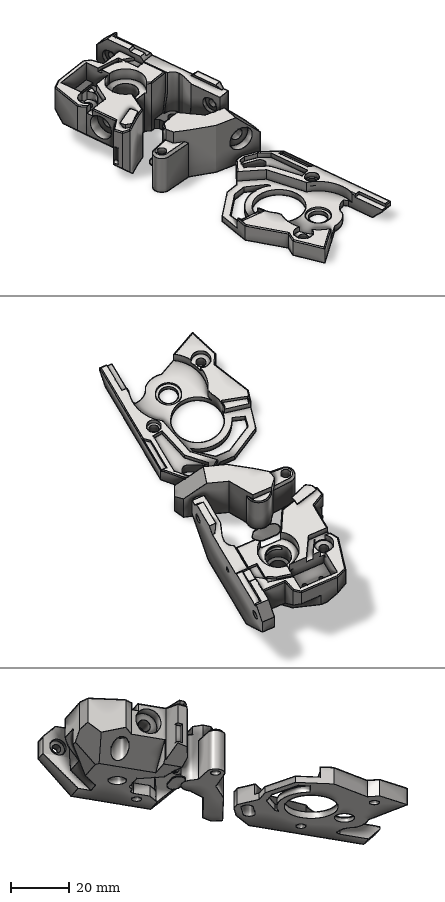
import cadquery as cq
import math


def prism(points, bottom, top):
    """Straight-sided block with a plan outline between two heights."""
    return cq.Workplane("XY").workplane(offset=bottom).polyline(points).close().extrude(top - bottom)


def disc(center, diameter, bottom, top):
    """Upright cylinder between two heights."""
    plane = cq.Workplane("XY").workplane(offset=bottom)
    return plane.center(*center).circle(diameter / 2).extrude(top - bottom)


def block(x_range, y_range, z_range):
    """Box given by its limits along each axis."""
    sizes = [limits[1] - limits[0] for limits in (x_range, y_range, z_range)]
    corner = (x_range[0], y_range[0], z_range[0])
    return cq.Workplane("XY").box(*sizes, centered=False).translate(corner)


def side_profile(points, front, back):
    """Block with an XZ outline, reaching from front to back along Y."""
    return cq.Workplane("XZ", origin=(0, front, 0)).polyline(points).close().extrude(front - back)


def cross_profile(points, left, right):
    """Block with a YZ outline, reaching from left to right along X."""
    return cq.Workplane("YZ", origin=(left, 0, 0)).polyline(points).close().extrude(right - left)


SCREW_HOLE = 3.4
SCREW_HEAD = 6.8
FLANGE_BACK = 41.4
FLANGE_FRONT = 36.7
EDGE_BEVEL = 0.4

HOUSING_HEIGHT = 20.9
RAIL_HEIGHT = 23.2
HOUSING_LEFT = 3.5
FLANGE_LENGTH = 53.4
FLANGE_KINK = 12.1
FLANGE_FOOT_FRONT = 34.6
FRONT_FACE = 4.8
TAB_HEIGHT = 4.0
DRIVE_CENTER = (22.4, 24.0)
DRIVE_POCKET = 14.3
DRIVE_POCKET_FLOOR = 16.6
DRIVE_BEARING = 9.0
DRIVE_BEARING_FLOOR = 9.0
DRIVE_HOLE = 6.25
REAR_SCREW = (33.9, 35.5)
FRONT_SCREW = (17.6, 8.9)
FRONT_SCREW_RELIEF = 6.25
FRONT_SCREW_RELIEF_TOP = 10.0
FRONT_SCREW_SEAT = 17.5
SWITCH_FLOOR = 12.5
SWITCH_LEDGE_X = 8.05
SWITCH_LEDGE_HEIGHT = 1.0
SWITCH_PIN = 1.8
SWITCH_PIN_DEPTH = 6.0
SWITCH_PINS = [(9.9, 13.7), (9.9, 20.1)]
INLET_X = 26.5
INLET_Z = 14.7
FILAMENT_HOLE = 1.8
FLANGE_HOLES_X = (5.5, 49.0)
FLANGE_HOLE_Z = 15.5

ARM_HEIGHT = 20.3
HINGE_CENTER = (51.7, 6.3)
HINGE_HEIGHT = 15.5
HINGE_RADIUS = 3.2
HINGE_BEVEL = 0.9
IDLER_CENTER = (48.4, 18.4)
IDLER_BOSS = 9.0
IDLER_BOSS_HEIGHT = 17.6
EAR_THICKNESS = 0.4

PLATE_HEIGHT = 6.5
PLATE_RIGHT = 123.73
PLATE_FLOOR = 2.4
TRAY_FLOOR = 4.6
MOTOR_CENTER = (92.0, 19.85)
MOTOR_HOLE = 18.4
MOTOR_RING = 23.6
SHAFT_CENTER = (105.8, 24.0)
SHAFT_HOLE = 6.8
SHAFT_SEAT = 9.0
SHAFT_SEAT_DEPTH = 0.8
SHAFT_RECESS = 27.2
PLATE_SCREW_TOP = (94.2, 35.5)
PLATE_SCREW_TOP_HEAD = 5.0
PLATE_SCREW_LOW = (111.0, 8.95)
PLATE_HEAD_FLOOR = 4.5



def housing_body():
    """Main block, with its lower left and front edges sloped away."""
    outline = [
        (HOUSING_LEFT, 10.7), (5.0, 6.8), (FRONT_SCREW[0], 3.3), (20.3, FRONT_FACE), (32.9, FRONT_FACE),
        (35.5, 0.1), (39.0, 0.7), (40.3, 3.3), (37.7, 10.7), (36.4, 15.5), (28.1, 20.3), (28.1, 27.3),
        (29.8, 29.0), (29.8, FLANGE_FRONT), (9.8, FLANGE_FRONT), (9.8, 27.7), (5.4, 26.8),
        (HOUSING_LEFT, 24.6),
    ]
    body = prism(outline, 0, HOUSING_HEIGHT).faces(">Z").edges().chamfer(EDGE_BEVEL)
    body = body.cut(left_underside()).cut(front_underside())
    return body.cut(corner_underside())


def left_underside():
    """45-degree slope under the left side, rising higher behind an upright diagonal wall."""
    low_slope = 7.3
    high_slope = 13.3
    wall_start = 17.0
    slopes = []
    for height in (low_slope, high_slope):
        profile = [(HOUSING_LEFT, 0), (HOUSING_LEFT + height, 0), (HOUSING_LEFT, height)]
        slopes.append(side_profile(profile, 0, FLANGE_BACK))
    wall_reach = FLANGE_BACK - wall_start
    behind_wall = prism(
        [(HOUSING_LEFT, wall_start), (HOUSING_LEFT + wall_reach, FLANGE_BACK), (HOUSING_LEFT, FLANGE_BACK)],
        0, HOUSING_HEIGHT,
    )
    return slopes[0].union(slopes[1].intersect(behind_wall))


def front_underside():
    """45-degree slopes under the front face and under the front right corner."""
    cut = None
    corner_start = 32.5
    for left, right, reach in ((0, corner_start, FRONT_FACE + 8.7), (corner_start, FLANGE_LENGTH, 6.0)):
        wedge = cross_profile([(0, 0), (reach, 0), (0, reach)], left, right)
        cut = wedge if cut is None else cut.union(wedge)
    return cut


def corner_underside():
    """Facet that slopes away the front left corner beneath the block."""
    high_point = (HOUSING_LEFT, 6.4, 13.3)
    facet = cq.Plane(origin=high_point, xDir=(0, 8.4, -6.0), normal=(-60.0, -43.0, -60.0))
    reach = 60.0
    return cq.Workplane(facet).rect(reach, reach).extrude(reach)


def housing_flange():
    """Rear flange: sloped ends, a foot that thickens downward and rails on its top."""
    slope_end = FLANGE_LENGTH - FLANGE_KINK
    outline = [
        (0, FLANGE_KINK), (FLANGE_KINK, 0), (slope_end, 0), (FLANGE_LENGTH, FLANGE_KINK),
        (FLANGE_LENGTH, HOUSING_HEIGHT), (20.4, HOUSING_HEIGHT), (19.0, 22.4), (14.6, 22.4),
        (14.0, RAIL_HEIGHT), (4.6, RAIL_HEIGHT), (0, RAIL_HEIGHT - 4.6),
    ]
    flange = side_profile(outline, FLANGE_FOOT_FRONT, FLANGE_BACK)
    wall = cross_profile(
        [
            (FLANGE_BACK, 0), (FLANGE_FOOT_FRONT, 0), (FLANGE_FRONT, FLANGE_KINK),
            (FLANGE_FRONT, RAIL_HEIGHT), (FLANGE_BACK, RAIL_HEIGHT),
        ],
        0, FLANGE_LENGTH,
    )
    rebate = block((5.2, 20.4), (39.2, FLANGE_BACK), (21.6, RAIL_HEIGHT))
    flange = flange.intersect(wall).cut(rebate).union(latch_rail())
    hole_size = 3.15
    head_size = 5.9
    head_depth = 1.5
    for x in FLANGE_HOLES_X:
        face = cq.Workplane("XZ", origin=(x, FLANGE_FRONT, FLANGE_HOLE_Z))
        flange = flange.cut(face.circle(head_size / 2).extrude(-head_depth))
        flange = flange.cut(face.circle(hole_size / 2).extrude(-FLANGE_BACK))
    return flange


def latch_rail():
    """Rail on the right of the flange: sloped ends and a front that overhangs its foot."""
    rail = side_profile(
        [(38, HOUSING_HEIGHT), (40.3, RAIL_HEIGHT), (49.8, RAIL_HEIGHT), (51.4, HOUSING_HEIGHT)],
        FLANGE_FRONT, FLANGE_BACK,
    )
    section = cross_profile(
        [
            (FLANGE_BACK, HOUSING_HEIGHT), (40.4, HOUSING_HEIGHT), (38.9, RAIL_HEIGHT),
            (FLANGE_BACK, RAIL_HEIGHT),
        ],
        0, FLANGE_LENGTH,
    )
    return rail.intersect(section)


def screw_tab():
    """Low tab that carries the rear screw, in the corner of flange and block."""
    outline = [
        (29.0, FLANGE_FRONT + 1.5), (29.0, 30.0), (31.2, 31.6), (37.3, 31.6), (40.7, FLANGE_FOOT_FRONT),
        (40.7, FLANGE_FRONT + 1.5),
    ]
    return prism(outline, 0, TAB_HEIGHT)


def screw_clearance():
    """Upright channel that lets the rear screw reach its tab, flaring toward the flange's end."""
    channel = disc(REAR_SCREW, SCREW_HEAD, TAB_HEIGHT, HOUSING_HEIGHT)
    flare = prism(
        [(34.0, 38.9), (36.0, 38.6), (41.0, FLANGE_FRONT), (41.0, 33.0), (30.5, 33.0), (30.5, 35.5)],
        TAB_HEIGHT, HOUSING_HEIGHT,
    )
    return channel.union(flare)


def tooth():
    """Catch on top of the front right corner, whose sides overhang its foot."""
    outline = [(34.6, 10.6), (37.8, 11.0), (40.4, 4.5), (38.9, 2.4), (36.9, 2.0)]
    overhang = 0.9
    height = RAIL_HEIGHT - HOUSING_HEIGHT
    spread = math.degrees(math.atan2(overhang, height))
    top = cq.Workplane("XY").workplane(offset=RAIL_HEIGHT).polyline(outline).close()
    return top.extrude(-height, taper=spread)


def drive_bore():
    """Stepped bore for the drive shaft, open toward the idler arm."""
    bore = disc(DRIVE_CENTER, DRIVE_POCKET, DRIVE_POCKET_FLOOR, HOUSING_HEIGHT)
    bore = bore.union(disc(DRIVE_CENTER, DRIVE_BEARING, DRIVE_BEARING_FLOOR, HOUSING_HEIGHT))
    return bore.union(disc(DRIVE_CENTER, DRIVE_HOLE, 0, HOUSING_HEIGHT))


def switch_pocket():
    """Rectangular pocket with a raised ledge on its left and two pin holes in its floor."""
    y_range = (10.0, 24.2)
    left = 5.2
    right = 15.3
    ledge_top = SWITCH_FLOOR + SWITCH_LEDGE_HEIGHT
    pocket = block((left, SWITCH_LEDGE_X), y_range, (ledge_top, HOUSING_HEIGHT))
    pocket = pocket.union(block((SWITCH_LEDGE_X, right), y_range, (SWITCH_FLOOR, HOUSING_HEIGHT)))
    for center in SWITCH_PINS:
        pocket = pocket.union(disc(center, SWITCH_PIN, SWITCH_FLOOR - SWITCH_PIN_DEPTH, SWITCH_FLOOR))
    return pocket


def front_screw_pocket():
    """Sunken area around the front screw, its head seat, its hole and the relief below."""
    area_floor = 18.0
    area = prism(
        [(15.3, 16.8), (22.8, 12.2), (22.8, FRONT_FACE), (20.4, FRONT_FACE), (20.4, 11.2), (15.3, 14.3)],
        area_floor, HOUSING_HEIGHT,
    )
    area = area.union(disc(FRONT_SCREW, SCREW_HEAD, FRONT_SCREW_SEAT, HOUSING_HEIGHT))
    area = area.union(disc(FRONT_SCREW, FRONT_SCREW_RELIEF, 0, FRONT_SCREW_RELIEF_TOP))
    return area.union(disc(FRONT_SCREW, SCREW_HOLE, 0, HOUSING_HEIGHT))


def back_left_recess():
    """Stepped relief behind the drive bore, running down the left side as a narrow channel."""
    relief_floor = 19.5
    relief = prism(
        [(20.7, FLANGE_FRONT), (20.7, 33.0), (13.8, 33.0), (16.5, FLANGE_FRONT)], relief_floor, RAIL_HEIGHT
    )
    channel = prism(
        [(13.8, 33.0), (12.3, 33.0), (10.3, 24.2), (11.6, 24.2), (12.8, 29.5), (14.5, 32.2)],
        relief_floor, RAIL_HEIGHT,
    )
    return relief.union(channel)


def filament_inlet():
    """Filament passage along Y, with a stepped socket in the front face."""
    passage = None
    for diameter, depth in ((9.19, 4.0), (4.4, 10.0), (FILAMENT_HOLE, FLANGE_BACK)):
        face = cq.Workplane("XZ", origin=(INLET_X, FRONT_FACE, INLET_Z))
        bore = face.circle(diameter / 2).extrude(-depth)
        passage = bore if passage is None else passage.union(bore)
    return passage


def build_housing():
    body = housing_body().union(housing_flange()).cut(screw_clearance()).union(screw_tab()).union(tooth())
    for feature in (drive_bore, switch_pocket, front_screw_pocket, back_left_recess, filament_inlet):
        body = body.cut(feature())
    corner_slot = block((35.1, 37.3), (0, 2.0), (6.5, 13.5))
    body = body.cut(corner_slot)
    return body.cut(disc(REAR_SCREW, SCREW_HOLE, 0, TAB_HEIGHT))



def lever():
    """Cranked lever with a sloped tip."""
    slope_left = (57.7, 33.6)
    slope_right = (64.2, 31.65)
    outline = [
        (46.4, 14.4), (49.2, 11.9), (52.2, 12.2), (55.9, 16.6), (61.5, 24.1), slope_right, (67.6, 41.0),
        (64.05, 42.8), (60.3, 41.2), slope_left, (55.0, 26.4), (46.4, 21.6),
    ]
    body = prism(outline, 0, ARM_HEIGHT)
    width = 15.0
    run = 12.0
    drop = 12.5
    angle = math.degrees(math.atan2(slope_right[1] - slope_left[1], slope_right[0] - slope_left[0]))
    wedge = cq.Workplane("YZ").polyline([(0, 0), (run, 0), (run, -drop)]).close()
    wedge = wedge.extrude(width).translate((-width / 2, 0, 0))
    wedge = wedge.rotate((0, 0, 0), (0, 0, 1), angle).translate((*slope_left, ARM_HEIGHT))
    return body.cut(wedge)


def tension_hole():
    """Stepped cross hole through the lever tip, square to the lever."""
    angle = -20.0
    lever_middle = (61.8, 34.8, 10.4)
    mouth_start = 0.5
    reach = 10.0
    hole = cq.Workplane("YZ").circle(4.4 / 2).extrude(reach, both=True)
    mouth = cq.Workplane("YZ").circle(9.0 / 2).extrude(reach).translate((mouth_start, 0, 0))
    return hole.union(mouth).rotate((0, 0, 0), (0, 0, 1), angle).translate(lever_middle)


def hinge():
    """Tapered hinge foot with a round end and a bevelled top."""
    x, y = HINGE_CENTER
    foot = cq.Workplane("XY").moveTo(48.0, 13.0).lineTo(x - HINGE_RADIUS, y)
    foot = foot.threePointArc((x, y - HINGE_RADIUS), (x + HINGE_RADIUS, y)).lineTo(55.7, 17.0)
    foot = foot.lineTo(50.0, 17.0).close().extrude(HINGE_HEIGHT)
    return foot.faces(">Z").edges().chamfer(HINGE_BEVEL)


def build_arm():
    boss = disc(IDLER_CENTER, IDLER_BOSS, 0, IDLER_BOSS_HEIGHT).faces(">Z").edges().chamfer(EDGE_BEVEL)
    body = lever().union(hinge()).union(boss).cut(tension_hole())
    return body.cut(disc(HINGE_CENTER, SCREW_HOLE, 0, HINGE_HEIGHT))



def build_ear():
    """Thin rounded pad lying against the foot of the arm's idler boss."""
    ear = cq.Workplane("XY").moveTo(39.5, 20.5).threePointArc((40.4, 22.9), (42.4, 24.0))
    ear = ear.lineTo(44.2, 22.5).lineTo(44.8, 18.4).lineTo(43.9, 14.6).lineTo(42.9, 13.7)
    ear = ear.threePointArc((40.8, 13.9), (39.5, 16.6)).close().extrude(EAR_THICKNESS)
    return ear.cut(disc(IDLER_CENTER, IDLER_BOSS, 0, EAR_THICKNESS))



def plate_blank():
    """Full-height outline, with a concave then convex edge beside the shaft."""
    blank = cq.Workplane("XY").moveTo(77.4, FLANGE_BACK).lineTo(PLATE_RIGHT, FLANGE_BACK)
    blank = blank.lineTo(PLATE_RIGHT, FLANGE_FRONT).lineTo(109.0, FLANGE_FRONT).lineTo(107.5, 36.0)
    blank = blank.threePointArc((108.9, 32.0), (111.9, 29.8)).threePointArc((113.8, 26.5), (114.0, 22.5))
    for point in (
        (122.2, 6.5), (110.8, 3.3), (107.1, 5.5), (92.7, 0.0), (80.0, 3.5), (73.2, 15.1), (73.2, 20.7),
        (67.6, 27.3), (67.6, 30.3), (70.4, 35.5),
    ):
        blank = blank.lineTo(*point)
    return blank.close().extrude(PLATE_HEIGHT).faces(">Z").edges("not %CIRCLE").chamfer(EDGE_BEVEL)


def motor_side_recess():
    """Lowered area around the motor ring, left of the intermediate step."""
    outline = [
        (94.9, 31.9), (79.4, 29.1), (72.0, 22.0), (66.0, 22.0), (66.0, -1.0), (87.8, -1.0), (90.2, 10.4),
        (101.0, 13.0), (104.0, 30.0),
    ]
    return prism(outline, PLATE_FLOOR, PLATE_HEIGHT)


def motor_step():
    """Flat intermediate step between the lowered ring and the thick lower corner."""
    low_left, high_left = (88.0, 2.0), (89.9, 10.2)
    low_right, high_right = (90.5, 1.5), (93.0, 10.2)
    step_drop = 1.5
    return prism([low_left, low_right, high_right, high_left], PLATE_HEIGHT - step_drop, PLATE_HEIGHT)


def ring_window():
    """Curved window between the motor ring and the outer rim."""
    outline = [
        (76.0, 20.9), (81.4, 26.9), (84.5, 27.5), (90.0, 20.0), (87.2, 8.3), (85.9, 4.6), (81.9, 5.5),
        (76.0, 15.6),
    ]
    return prism(outline, 0, PLATE_HEIGHT).cut(disc(MOTOR_CENTER, MOTOR_RING, 0, PLATE_HEIGHT))


def tray():
    """Sunken tray in the upper left corner with a slanted slot through its floor."""
    outline = [
        (74.9, 37.5), (90.8, 37.5), (91.2, 33.9), (79.0, 31.4), (72.5, 25.4), (69.0, 27.7), (69.0, 30.2),
        (71.4, 34.6),
    ]
    sunken = prism(outline, TRAY_FLOOR, PLATE_HEIGHT)
    slot_length = 9.0
    slot_width = 4.2
    slot_angle = 62.0
    slot = cq.Workplane("XY").center(72.9, 30.4).slot2D(slot_length, slot_width, slot_angle)
    return sunken.union(slot.extrude(PLATE_HEIGHT))


def flange_grooves():
    """Stepped rebates along the back left and front right of the plate's flange."""
    depth = 1.2
    floor = PLATE_HEIGHT - depth
    left = prism([(77.2, 39.1), (89.5, 39.1), (91.4, FLANGE_BACK - 0.3), (77.2, FLANGE_BACK - 0.3)],
                 floor, PLATE_HEIGHT)
    right = block((112.0, PLATE_RIGHT), (FLANGE_FRONT, 38.8), (floor, PLATE_HEIGHT))
    return left.union(right)


def flange_end_slope():
    """Slope under the right end of the plate's flange."""
    profile = [(119.5, 0), (PLATE_RIGHT, 0), (PLATE_RIGHT, 4.5)]
    return side_profile(profile, FLANGE_FRONT, FLANGE_BACK)


def plate_bores():
    """Motor opening, shaft bore with its seat, and the two screw holes with head seats."""
    bores = disc(MOTOR_CENTER, MOTOR_HOLE, 0, PLATE_HEIGHT)
    bores = bores.union(disc(SHAFT_CENTER, SHAFT_HOLE, 0, PLATE_HEIGHT))
    bores = bores.union(disc(SHAFT_CENTER, SHAFT_SEAT, PLATE_FLOOR - SHAFT_SEAT_DEPTH, PLATE_HEIGHT))
    for center, head in ((PLATE_SCREW_TOP, PLATE_SCREW_TOP_HEAD), (PLATE_SCREW_LOW, SCREW_HEAD)):
        bores = bores.union(disc(center, SCREW_HOLE, 0, PLATE_HEIGHT))
        bores = bores.union(disc(center, head, PLATE_HEAD_FLOOR, PLATE_HEIGHT))
    return bores


def build_plate():
    plate = plate_blank().cut(disc(SHAFT_CENTER, SHAFT_RECESS, PLATE_FLOOR, PLATE_HEIGHT))
    features = (
        motor_side_recess, motor_step, ring_window, tray, flange_grooves, flange_end_slope, plate_bores,
    )
    for feature in features:
        plate = plate.cut(feature())
    return plate


housing = build_housing()
arm = build_arm()
ear = build_ear()
plate = build_plate()
result = cq.Compound.makeCompound([*housing.vals(), *arm.vals(), *ear.vals(), *plate.vals()])